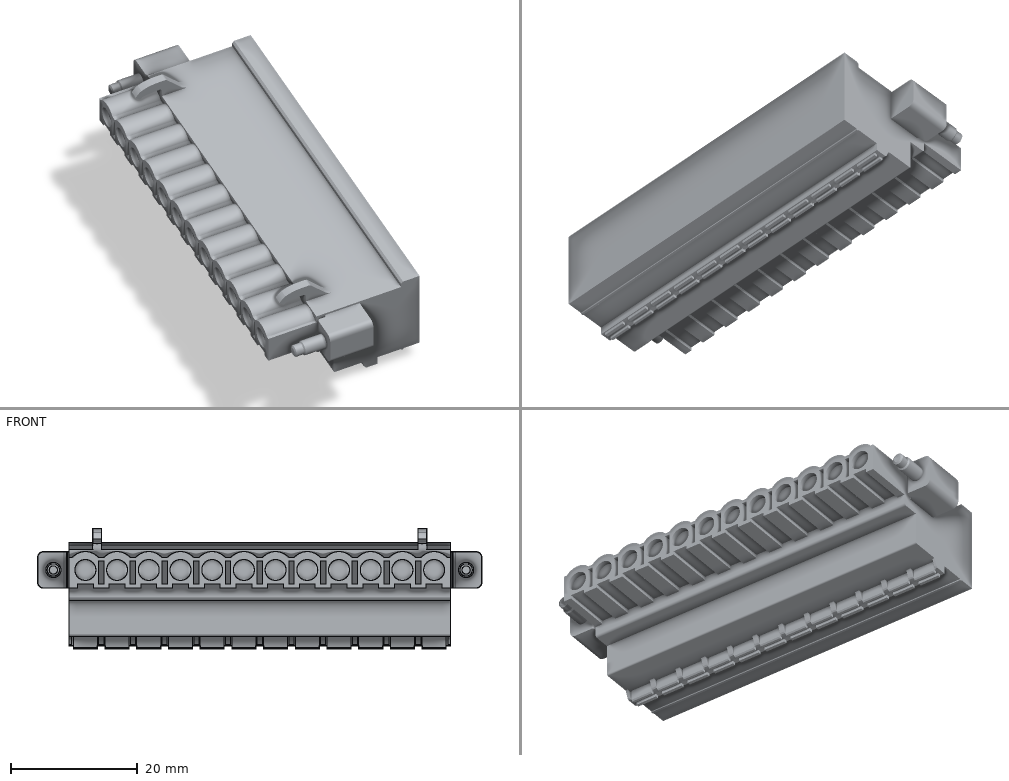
import cadquery as cq


POLES = 12
PITCH = 5.0
POLE_XS = [(i - (POLES - 1) / 2) * PITCH for i in range(POLES)]
GAP_XS = [x + PITCH / 2 for x in POLE_XS[:-1]]

HOUSING_LENGTH = 60.2
HALF_LENGTH = HOUSING_LENGTH / 2
DECK_Z = 13.75
RIDGE_Z = 14.8
RIDGE_DEPTH = 3.25
RIDGE_CHAMFER = 0.35
NOSE_Y = -18.15
NOSE_BOTTOM_Z = 5.7
NOSE_FILLET = 0.4
LOWER_FRONT_Y = -15.1
LOWER_FILLET = 0.25
RIB_Y = -3.0
RIB_WIDTH = 0.4
RIB_HEIGHT = 0.2

SHROUD_FRONT_Y = -26.6
SHROUD_BOTTOM_Z = 7.62
SHROUD_TOP_Z = 13.4
VALLEY_Z = 12.45
CROWN_HALF_WIDTH = 2.1
HOLE_DIAMETER = 3.3
HOLE_Z = 10.5
HOLE_DEPTH = 1.0
SLOT_WIDTH = 0.85
SLOT_TOP_Z = 11.9
NOTCH_WIDTH = 2.5
NOTCH_TOP_Z = 8.26

PART_LENGTH = 70.1
EAR_WIDTH = (PART_LENGTH - HOUSING_LENGTH) / 2
EAR_BACK_Y = -10.55
EAR_BOTTOM_Z = SHROUD_BOTTOM_Z
EAR_TOP_Z = SHROUD_TOP_Z
EAR_FILLET = 1.0
EAR_GAP_WIDTH = 0.4
EAR_GAP_DEPTH = 1.5
EAR_GAP_CHAMFER = 0.2
EAR_CORNER_FILLET = 0.4
SCREW_X = 32.55
SCREW_Z = HOLE_Z
SHANK_RADIUS = 1.2
SHANK_END_Y = -21.8
SHANK_CHAMFER = 0.2
TIP_RADIUS = 0.97
TIP_END_Y = -23.5
TIP_CHAMFER_LENGTH = 0.2
TIP_END_RADIUS = 0.65

HOOK_X = 25.65
HOOK_WIDTH = 1.4
HOOK_TOP_Z = 17.05
HOOK_TOP_BACK_Y = -17.65
HOOK_TOP_FRONT_Y = -18.8
HOOK_HEEL_Y = -13.5
HOOK_THROAT_CHAMFER = 0.25
HOOK_HEEL_MIDDLE = (-14.2, 13.9)
HOOK_RAMP_START = (-14.8, 14.33)
HOOK_RAMP_END = (-17.2, 16.85)
HOOK_SHOULDER_MIDDLE = (-17.41, 17.0)
HOOK_BACK_ARC_START = (-19.4, 17.02)
HOOK_BACK_ARC_MIDDLE = (-20.6, 16.85)
HOOK_BACK_ARC_END = (-21.75, 16.45)
HOOK_NOSE_MIDDLE = (-22.35, 15.95)
HOOK_NOSE_END = (-22.75, 15.4)
HOOK_TIP = (-22.5, 15.1)
HOOK_BARB = (-22.0, 14.65)
HOOK_THROAT_START = (-21.6, 15.05)
HOOK_THROAT_MIDDLE = (-20.4, 15.25)
HOOK_THROAT_END = (NOSE_Y - HOOK_THROAT_CHAMFER, 15.35)

FOOT_WIDTH = 3.8
FOOT_BOTTOM_Z = -1.95
FOOT_FRONT_Y = -9.45
FOOT_BEVEL = 0.2
LIP_BACK_Y = -7.6
CHANNEL_BACK_Y = -8.15
CHANNEL_FRONT_Y = -8.8
BAR_BOTTOM_Z = -1.45
BAR_BACK_Y = -7.4
BAR_FRONT_Y = -9.2
WEB_WIDTH = 0.8
WEB_TOP_FRONT_Y = -10.1
WEB_BOTTOM_FRONT_Y = -9.55


def block(x0, x1, y0, y1, z0, z1):
    """Box between two opposite corners."""
    return cq.Workplane("XY").box(x1 - x0, y1 - y0, z1 - z0, centered=False).translate((x0, y0, z0))


def extrude_along_x(side_outline, x_center, width):
    """Extrude a closed YZ outline to both sides of x_center."""
    return side_outline.extrude(width / 2, both=True).translate((x_center, 0, 0))


def make_housing():
    ridge_y = -RIDGE_DEPTH
    outline = (
        cq.Workplane("YZ")
        .moveTo(0, 0)
        .lineTo(0, RIDGE_Z)
        .lineTo(ridge_y + RIDGE_CHAMFER, RIDGE_Z)
        .lineTo(ridge_y, RIDGE_Z - RIDGE_CHAMFER)
        .lineTo(ridge_y, DECK_Z)
        .lineTo(NOSE_Y, DECK_Z)
        .lineTo(NOSE_Y, NOSE_BOTTOM_Z)
        .lineTo(LOWER_FRONT_Y, NOSE_BOTTOM_Z)
        .lineTo(LOWER_FRONT_Y, 0)
        .close()
    )
    housing = extrude_along_x(outline, 0, HOUSING_LENGTH)
    nose_edge = cq.selectors.NearestToPointSelector((0, NOSE_Y, NOSE_BOTTOM_Z))
    lower_edge = cq.selectors.NearestToPointSelector((0, LOWER_FRONT_Y, 0))
    housing = housing.edges(nose_edge).fillet(NOSE_FILLET)
    housing = housing.edges(lower_edge).fillet(LOWER_FILLET)
    rib_front_y = RIB_Y - RIB_WIDTH / 2
    rib = block(-HALF_LENGTH, HALF_LENGTH, rib_front_y, rib_front_y + RIB_WIDTH, -RIB_HEIGHT, RIB_HEIGHT)
    return housing.union(rib)


def make_shroud():
    """Row of sockets with a crowned top over each pole."""
    outline = cq.Workplane("XZ").moveTo(-HALF_LENGTH, SHROUD_BOTTOM_Z).lineTo(-HALF_LENGTH, VALLEY_Z)
    for x in POLE_XS:
        outline = outline.lineTo(x - CROWN_HALF_WIDTH, VALLEY_Z)
        outline = outline.threePointArc((x, SHROUD_TOP_Z), (x + CROWN_HALF_WIDTH, VALLEY_Z))
    outline = outline.lineTo(HALF_LENGTH, VALLEY_Z).lineTo(HALF_LENGTH, SHROUD_BOTTOM_Z).close()
    shroud = outline.extrude(NOSE_Y - SHROUD_FRONT_Y).translate((0, NOSE_Y, 0))
    for x in POLE_XS:
        half = NOTCH_WIDTH / 2
        shroud = shroud.cut(block(x - half, x + half, SHROUD_FRONT_Y, NOSE_Y, SHROUD_BOTTOM_Z, NOTCH_TOP_Z))
    for x in GAP_XS:
        half = SLOT_WIDTH / 2
        shroud = shroud.cut(block(x - half, x + half, SHROUD_FRONT_Y, NOSE_Y, NOTCH_TOP_Z, SLOT_TOP_Z))
    front_plane = cq.Workplane("XZ", origin=(0, SHROUD_FRONT_Y, 0))
    holes = front_plane.pushPoints([(x, HOLE_Z) for x in POLE_XS]).circle(HOLE_DIAMETER / 2)
    return shroud.cut(holes.extrude(-HOLE_DEPTH))


def make_right_ear():
    """Flange ear with its screw, on the +X end."""
    ear_end_x = HALF_LENGTH + EAR_WIDTH
    ear = block(HALF_LENGTH, ear_end_x, NOSE_Y, EAR_BACK_Y, EAR_BOTTOM_Z, EAR_TOP_Z)
    ear = ear.edges("|Y and >X").fillet(EAR_FILLET)
    gap_x = HALF_LENGTH + EAR_GAP_WIDTH
    gap_end_y = NOSE_Y + EAR_GAP_DEPTH
    gap = cq.Workplane("XY", origin=(0, 0, EAR_BOTTOM_Z)).polyline(
        [
            (HALF_LENGTH, NOSE_Y),
            (gap_x, NOSE_Y),
            (gap_x, gap_end_y - EAR_GAP_CHAMFER),
            (gap_x - EAR_GAP_CHAMFER, gap_end_y),
            (HALF_LENGTH, gap_end_y),
        ]
    ).close()
    ear = ear.cut(gap.extrude(EAR_TOP_Z - EAR_BOTTOM_Z))
    gap_corner = cq.selectors.NearestToPointSelector((gap_x, NOSE_Y, (EAR_BOTTOM_Z + EAR_TOP_Z) / 2))
    ear = ear.edges(gap_corner).fillet(EAR_CORNER_FILLET)
    return ear.union(make_right_screw())


def make_right_screw():
    """Turned screw end with a stepped tip, revolved about its own axis and rooted inside the ear."""
    root_y = (EAR_BACK_Y + NOSE_Y) / 2
    half_profile = cq.Workplane("YZ", origin=(SCREW_X, 0, SCREW_Z)).polyline(
        [
            (root_y, 0),
            (root_y, SHANK_RADIUS),
            (SHANK_END_Y, SHANK_RADIUS),
            (SHANK_END_Y - SHANK_CHAMFER, TIP_RADIUS),
            (TIP_END_Y + TIP_CHAMFER_LENGTH, TIP_RADIUS),
            (TIP_END_Y, TIP_END_RADIUS),
            (TIP_END_Y, 0),
        ]
    ).close()
    return half_profile.revolve(360, (0, 0, 0), (1, 0, 0))


def make_hook(x_center):
    """Latch hook that rises from the deck and curls forward over the shroud."""
    outline = (
        cq.Workplane("YZ")
        .moveTo(HOOK_HEEL_Y, DECK_Z)
        .threePointArc(HOOK_HEEL_MIDDLE, HOOK_RAMP_START)
        .lineTo(*HOOK_RAMP_END)
        .threePointArc(HOOK_SHOULDER_MIDDLE, (HOOK_TOP_BACK_Y, HOOK_TOP_Z))
        .lineTo(HOOK_TOP_FRONT_Y, HOOK_TOP_Z)
        .lineTo(*HOOK_BACK_ARC_START)
        .threePointArc(HOOK_BACK_ARC_MIDDLE, HOOK_BACK_ARC_END)
        .threePointArc(HOOK_NOSE_MIDDLE, HOOK_NOSE_END)
        .lineTo(*HOOK_TIP)
        .lineTo(*HOOK_BARB)
        .lineTo(*HOOK_THROAT_START)
        .threePointArc(HOOK_THROAT_MIDDLE, HOOK_THROAT_END)
        .lineTo(NOSE_Y, HOOK_THROAT_END[1] - HOOK_THROAT_CHAMFER)
        .lineTo(NOSE_Y, DECK_Z)
        .close()
    )
    return extrude_along_x(outline, x_center, HOOK_WIDTH)


def make_feet():
    """Bar along the underside with a two-lipped foot at each pole and a sloped web between feet."""
    feet = block(-HALF_LENGTH, HALF_LENGTH, BAR_FRONT_Y, BAR_BACK_Y, BAR_BOTTOM_Z, 0)
    for x in POLE_XS:
        x0 = x - FOOT_WIDTH / 2
        x1 = x + FOOT_WIDTH / 2
        foot = block(x0, x1, FOOT_FRONT_Y, LIP_BACK_Y, FOOT_BOTTOM_Z, 0)
        front_edge = cq.selectors.NearestToPointSelector((x, FOOT_FRONT_Y, FOOT_BOTTOM_Z))
        feet = feet.union(foot.edges(front_edge).chamfer(FOOT_BEVEL))
        feet = feet.cut(block(x0, x1, CHANNEL_FRONT_Y, CHANNEL_BACK_Y, FOOT_BOTTOM_Z, BAR_BOTTOM_Z))
    end_web_x = HALF_LENGTH - WEB_WIDTH / 4
    webs = [(x, WEB_WIDTH) for x in GAP_XS]
    webs += [(-end_web_x, WEB_WIDTH / 2), (end_web_x, WEB_WIDTH / 2)]
    for x, width in webs:
        outline = cq.Workplane("YZ").polyline(
            [
                (BAR_BACK_Y, 0),
                (BAR_BACK_Y, BAR_BOTTOM_Z),
                (WEB_BOTTOM_FRONT_Y + FOOT_BEVEL, BAR_BOTTOM_Z),
                (WEB_BOTTOM_FRONT_Y, BAR_BOTTOM_Z + FOOT_BEVEL),
                (WEB_TOP_FRONT_Y, 0),
            ]
        ).close()
        feet = feet.union(extrude_along_x(outline, x, width))
    return feet


right_ear = make_right_ear()
result = (
    make_housing()
    .union(make_shroud())
    .union(right_ear)
    .union(right_ear.mirror("YZ"))
    .union(make_hook(-HOOK_X))
    .union(make_hook(HOOK_X))
    .union(make_feet())
)